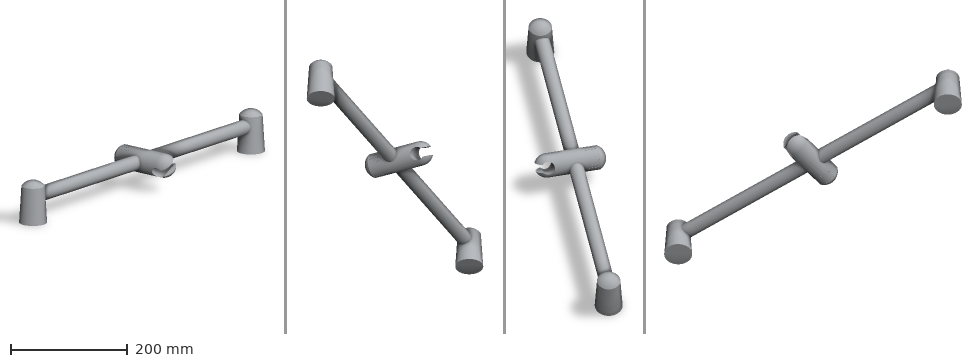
import cadquery as cq
import math

POST_HEIGHT = 75.0
POST_BASE_RADIUS = 24.0
POST_TOP_RADIUS = 20.0
POST_CAP_HEIGHT = 10.0
POST_SHOULDER_Z = POST_HEIGHT - POST_CAP_HEIGHT

OVERALL_LENGTH = 630.0
POST_Y = OVERALL_LENGTH / 2 - POST_BASE_RADIUS
RAIL_RADIUS = 13.0
RAIL_Z = 46.0

SLIDER_RADIUS = 21.0
KNOB_TIP_X = -54.8
KNOB_SHOULDER_X = -42.0
HOLDER_X = 49.0

HOLDER_TILT = 32.0
HOLDER_HOLE_RADIUS = 11.5
HOLDER_SLOT_WIDTH = 15.0

GROOVE_LENGTH = 21.0
GROOVE_WIDTH = 3.0
GROOVE_DEPTH = 0.5
GROOVE_CENTER_X = -29.5
GROOVE_GROUPS = 4
GROOVES_PER_GROUP = 3
GROOVE_PITCH_ANGLE = 19.0
FIRST_GROUP_ANGLE = 22.0


def cap_midpoint(base_radius, height):
    """Point (radius, height) halfway along the arc of a spherical cap."""
    sphere_radius = (base_radius**2 + height**2) / (2 * height)
    half_angle = math.asin(base_radius / sphere_radius) / 2
    return sphere_radius * math.sin(half_angle), height - sphere_radius * (1 - math.cos(half_angle))


def make_post(y):
    """Tapered round post with a domed top, standing on Z = 0."""
    mid_radius, mid_height = cap_midpoint(POST_TOP_RADIUS, POST_CAP_HEIGHT)
    return (
        cq.Workplane("XZ")
        .lineTo(POST_BASE_RADIUS, 0)
        .lineTo(POST_TOP_RADIUS, POST_SHOULDER_Z)
        .threePointArc((mid_radius, POST_SHOULDER_Z + mid_height), (0, POST_HEIGHT))
        .close()
        .revolve(360, (0, 0, 0), (0, 1, 0))
        .translate((0, y, 0))
    )


def make_rail():
    """Round rail reaching the axes of both posts."""
    return cq.Workplane("XZ").circle(RAIL_RADIUS).extrude(POST_Y, both=True).translate((0, 0, RAIL_Z))


def make_slider_body():
    """Round bar along X: shallow dome on the knob end, hemisphere on the holder end."""
    mid_radius, mid_height = cap_midpoint(SLIDER_RADIUS, KNOB_SHOULDER_X - KNOB_TIP_X)
    diagonal = SLIDER_RADIUS * math.sqrt(0.5)
    return (
        cq.Workplane("XZ")
        .moveTo(KNOB_TIP_X, 0)
        .threePointArc((KNOB_SHOULDER_X - mid_height, mid_radius), (KNOB_SHOULDER_X, SLIDER_RADIUS))
        .lineTo(HOLDER_X, SLIDER_RADIUS)
        .threePointArc((HOLDER_X + diagonal, diagonal), (HOLDER_X + SLIDER_RADIUS, 0))
        .close()
        .revolve(360, (0, 0, 0), (1, 0, 0))
    )


def make_holder_cut():
    """Keyhole-shaped cutter whose axis rises towards +Y."""
    reach = 2 * SLIDER_RADIUS
    hole = cq.Workplane("XZ").center(HOLDER_X, 0).circle(HOLDER_HOLE_RADIUS).extrude(reach, both=True)
    slot = (
        cq.Workplane("XZ")
        .center(HOLDER_X + reach / 2, 0)
        .rect(reach, HOLDER_SLOT_WIDTH)
        .extrude(reach, both=True)
    )
    return hole.union(slot).rotate((0, 0, 0), (1, 0, 0), HOLDER_TILT)


def make_groove_cut(angle):
    """Round-ended groove along X, turned about the slider axis from the top towards -Y."""
    return (
        cq.Workplane("XY", origin=(GROOVE_CENTER_X, 0, SLIDER_RADIUS - GROOVE_DEPTH))
        .slot2D(GROOVE_LENGTH, GROOVE_WIDTH)
        .extrude(2 * GROOVE_DEPTH)
        .rotate((0, 0, 0), (1, 0, 0), angle)
    )


def make_slider():
    """Slider with its holder opening and the groups of finger grooves."""
    slider = make_slider_body().cut(make_holder_cut())
    middle = (GROOVES_PER_GROUP - 1) / 2
    for group in range(GROOVE_GROUPS):
        group_angle = FIRST_GROUP_ANGLE + group * 360 / GROOVE_GROUPS
        for groove in range(GROOVES_PER_GROUP):
            angle = group_angle + (groove - middle) * GROOVE_PITCH_ANGLE
            slider = slider.cut(make_groove_cut(angle))
    return slider.translate((0, 0, RAIL_Z))


result = make_rail().union(make_post(POST_Y)).union(make_post(-POST_Y)).union(make_slider())